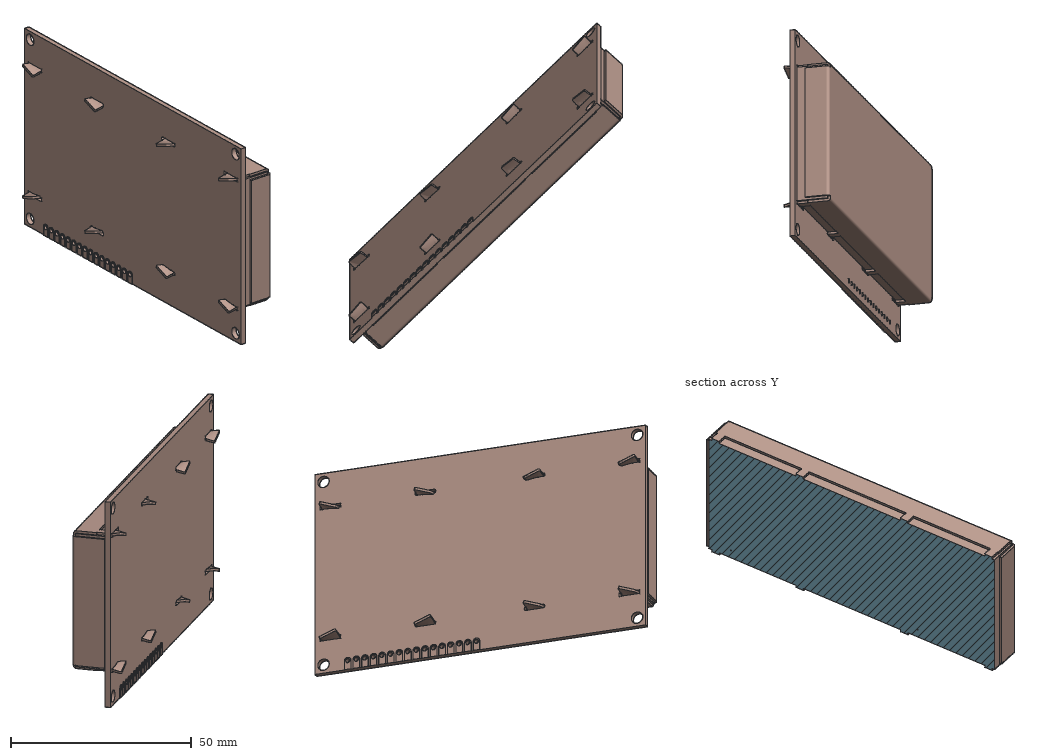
import cadquery as cq

BOARD_X = 98.1
BOARD_Z = 59.9
BOARD_T = 1.6
MOUNT_HOLE_D = 3.3
MOUNT_HOLE_INSET = 2.55

PAD_COUNT = 16
PAD_ROW_LENGTH = 38.15
PAD_FIRST_X = -39.2
PAD_PITCH = PAD_ROW_LENGTH / (PAD_COUNT - 1)
PAD_W = 2.0
PAD_T = 0.2
PAD_HOLE_D = 1.2
PAD_HOLE_Z = -27.4

DISPLAY_X_OFFSET = -0.2
DISPLAY_DEPTH = 9.6
SHEET_T = 0.7
BEND_R = 0.9
CORE_X = 95.5
CORE_Z = 38.8
BEZEL_X = CORE_X + 2 * SHEET_T
BEZEL_Z = CORE_Z + 2 * SHEET_T
WIDE_FLAP_X = 94.3
SIDE_FLAP_Z = 37.6
WIDE_FLAP_GAP = 2.9
LEFT_FLAP_GAP = 0.2
RIGHT_FLAP_GAP = 2.6

TAB_AXIS_X = -0.1
OUTER_TAB_X = 44.3
INNER_TAB_X = 16.2
TAB_Z = 19.4
TAB_L = 5.1
TAB_PROTRUSION = 2.5
TAB_TIP_R = 0.3
TWIST_ANGLE = 20.0
LEG_W = TAB_L / 2

SLOT_Z = 19.7
SLOT_H = 1.1
SLOT_L = 6.1

BOARD_BACK = BOARD_T
DISPLAY_BACK = BOARD_BACK + DISPLAY_DEPTH


def block(size_x, size_z, y_front, y_back, x=0.0, z=0.0):
    """Box centred at (x, z), running from y_front to y_back."""
    return cq.Workplane("XY").box(size_x, y_back - y_front, size_z).translate((x, (y_front + y_back) / 2, z))


def front_plane(y, x=0.0, z=0.0):
    """Sketch plane facing -Y, with local x along +X and local y along +Z."""
    return cq.Workplane("XZ", origin=(x, y, z))


def make_board():
    board = block(BOARD_X, BOARD_Z, 0, BOARD_T)
    mount_holes = (
        front_plane(BOARD_BACK)
        .rect(BOARD_X - 2 * MOUNT_HOLE_INSET, BOARD_Z - 2 * MOUNT_HOLE_INSET, forConstruction=True)
        .vertices()
        .circle(MOUNT_HOLE_D / 2)
        .extrude(BOARD_T)
    )
    board = board.cut(mount_holes)
    for side in (-1, 1):
        for level in (-1, 1):
            outer_x = TAB_AXIS_X + side * OUTER_TAB_X
            inner_x = TAB_AXIS_X + side * INNER_TAB_X
            z = level * SLOT_Z
            board = board.cut(block(SLOT_L, SLOT_H, 0, BOARD_T, outer_x, z))
            inner_slot = front_plane(BOARD_BACK, inner_x, z).slot2D(SLOT_L, SLOT_H).extrude(BOARD_T)
            board = board.cut(inner_slot)
    return board


def add_pads(board):
    """Round-ended raised pads reaching the lower edge, each with a through hole."""
    centres = [(PAD_FIRST_X + i * PAD_PITCH, PAD_HOLE_Z) for i in range(PAD_COUNT)]
    stem_length = PAD_HOLE_Z + BOARD_Z / 2
    for x, z in centres:
        stem = block(PAD_W, stem_length, -PAD_T, 0, x, z - stem_length / 2)
        board = board.union(stem)
    pad_ends = front_plane(0).pushPoints(centres).circle(PAD_W / 2).extrude(PAD_T)
    holes = front_plane(BOARD_BACK).pushPoints(centres).circle(PAD_HOLE_D / 2).extrude(BOARD_T + PAD_T)
    return board.union(pad_ends).cut(holes)


def make_display():
    core = block(CORE_X, CORE_Z, BOARD_BACK, DISPLAY_BACK - SHEET_T)

    wide_front = BOARD_BACK + WIDE_FLAP_GAP
    wide_wrap = block(WIDE_FLAP_X, BEZEL_Z, wide_front, DISPLAY_BACK).edges(">Y and |X").fillet(BEND_R)

    left_front = BOARD_BACK + LEFT_FLAP_GAP
    side_wrap = block(BEZEL_X, SIDE_FLAP_Z, left_front, DISPLAY_BACK).edges(">Y and |Z").fillet(BEND_R)
    right_trim = block(
        SHEET_T, SIDE_FLAP_Z, left_front, BOARD_BACK + RIGHT_FLAP_GAP, (BEZEL_X - SHEET_T) / 2
    )
    side_wrap = side_wrap.cut(right_trim)
    return core.union(wide_wrap).union(side_wrap).translate((DISPLAY_X_OFFSET, 0, 0))


def make_tab():
    """Upper left tab at X = 0: straight leg and a twisted blade passing through the slot."""
    leg_x = (LEG_W - TAB_L) / 2
    leg_z = (CORE_Z + SHEET_T) / 2
    leg = block(LEG_W, SHEET_T, BOARD_BACK, BOARD_BACK + WIDE_FLAP_GAP, leg_x, leg_z)

    blade_l = BOARD_T + TAB_PROTRUSION
    blade = front_plane(BOARD_BACK, z=TAB_Z).rect(TAB_L, SHEET_T).twistExtrude(blade_l, -TWIST_ANGLE)
    envelope = block(TAB_L, TAB_L, -TAB_PROTRUSION, BOARD_BACK, z=TAB_Z)
    envelope = envelope.edges("<Y and |Z").fillet(TAB_TIP_R)
    envelope = envelope.rotate((0, 0, TAB_Z), (0, 1, TAB_Z), TWIST_ANGLE)
    return leg.union(blade.intersect(envelope))


def add_tabs(body):
    tab = make_tab()
    for distance in (OUTER_TAB_X, INNER_TAB_X):
        upper_left = tab.translate((-distance, 0, 0))
        lower_left = upper_left.mirror("XY")
        for left in (upper_left, lower_left):
            right = left.mirror("YZ")
            body = body.union(left.translate((TAB_AXIS_X, 0, 0)))
            body = body.union(right.translate((TAB_AXIS_X, 0, 0)))
    return body


result = add_tabs(add_pads(make_board()).union(make_display()))